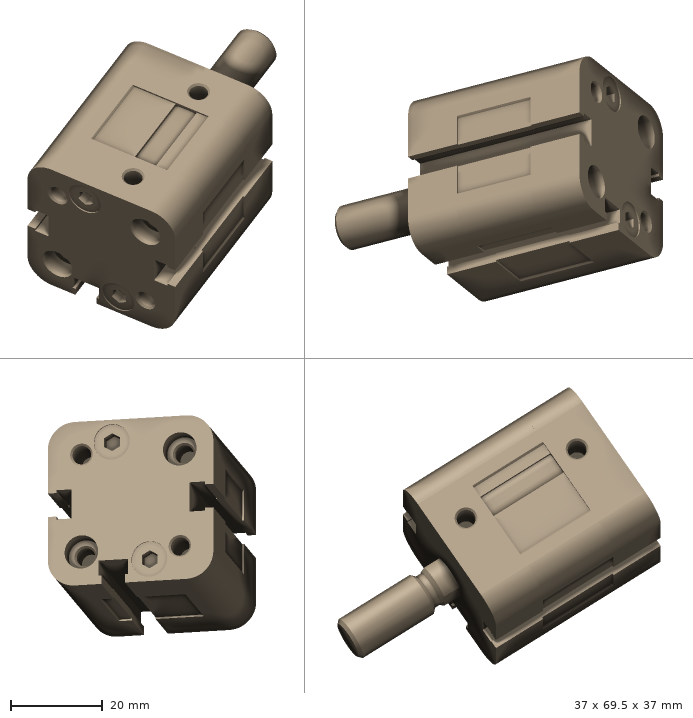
import cadquery as cq
import math


width = 37.0
half_width = width / 2
corner_radius = 6.0
cap_length = 12.3
body_length = 43.0
barrel_length = body_length - 2 * cap_length
front_cap_start = cap_length + barrel_length

slot_opening = 5.3
slot_inner_width = 6.6
slot_depth = 5.3
cap_lip = 1.9
barrel_lip = 2.1
slot_offset = 3.9
SIDE_SLOTS = [(90, 0), (-90, 0)]
BOTTOM_SLOT = (180, slot_offset)
TOP_SLOT = (0, slot_offset)

recess_depth = 0.4
recess_floor_half = 9.1
recess_mouth_half = 9.55

cover_drop = 0.45
cover_flat_width = 2.2
cover_edge_radius = 4.0

thread_core_diameter = 4.13
thread_mouth_diameter = 5.0
thread_depth = 10.0
mount_offset = 11.0
counterbore_diameter = 7.5
counterbore_depth = 4.3
port_x = 4.0
port_from_end = 7.0
port_depth = 8.0
screw_x = 4.2
screw_z = 13.5
screw_head_diameter = 8.0
screw_head_recess = 0.3
hex_across_flats = 3.5
hex_depth = 2.5

rod_diameter = 10.0
rod_length = 26.5
rod_flats = 8.0
neck_diameter = 8.0
neck_length = 1.3
rod_shoulder_length = 5.0
neck_cone = (rod_diameter - neck_diameter) / 2
tip_chamfer = 0.8


def along_y(start):
    """Sketch plane whose local x, y are X, Z and whose normal is -Y, set at Y = start."""
    return cq.Workplane("XZ", origin=(0, start, 0))


def housing_block(start, length):
    block = cq.Workplane("XY").box(width, length, width, centered=(True, False, True))
    return block.edges("|Y").fillet(corner_radius).translate((0, start, 0))


def flank_prism(profile, angle, start, length):
    """Prism along Y from a profile drawn for the top flank, turned about Y to another flank."""
    prism = profile.extrude(-length)
    return prism.rotate((0, 0, 0), (0, 1, 0), angle).translate((0, start, 0))


def t_slot(angle, offset, lip, start, length):
    slot_floor = half_width - slot_depth
    head_height = slot_depth - lip
    neck = along_y(0).center(offset, half_width - lip / 2).rect(slot_opening, lip)
    head = along_y(0).center(offset, slot_floor + head_height / 2).rect(slot_inner_width, head_height)
    neck_prism = flank_prism(neck, angle, start, length)
    return neck_prism.union(flank_prism(head, angle, start, length))


def flank_recess(angle):
    floor = half_width - recess_depth
    profile = along_y(0).polyline(
        [
            (-recess_mouth_half, half_width),
            (-recess_floor_half, floor),
            (recess_floor_half, floor),
            (recess_mouth_half, half_width),
        ]
    ).close()
    return flank_prism(profile, angle, cap_length, barrel_length)


def threaded_hole(depth):
    """Core hole with a 45 degree mouth chamfer, running down from the origin along -Z."""
    core_radius = thread_core_diameter / 2
    mouth_radius = thread_mouth_diameter / 2
    outline = cq.Workplane("XZ").polyline(
        [
            (0, 0),
            (mouth_radius, 0),
            (core_radius, core_radius - mouth_radius),
            (core_radius, -depth),
            (0, -depth),
        ]
    ).close()
    return outline.revolve(360, (0, 0, 0), (0, 1, 0))


def mounting_hole(x, z, sunk):
    """Threaded hole entering the rear face, starting at the depth `sunk`."""
    hole = threaded_hole(thread_depth - sunk).rotate((0, 0, 0), (1, 0, 0), 90)
    return hole.translate((x, sunk, z))


def port(y):
    return threaded_hole(port_depth).translate((port_x, y, half_width))


def cap(start, port_y):
    body = housing_block(start, cap_length)
    for angle, offset in [*SIDE_SLOTS, BOTTOM_SLOT]:
        body = body.cut(t_slot(angle, offset, cap_lip, start, cap_length))
    return body.cut(port(port_y))


def make_rear_cap():
    body = cap(0, port_from_end)
    for sx in (-1, 1):
        for sz in (-1, 1):
            x = sx * mount_offset
            z = sz * mount_offset
            sunk = 0
            if sx == sz:
                sunk = counterbore_depth
                bore = along_y(0).center(x, z).circle(counterbore_diameter / 2)
                body = body.cut(bore.extrude(-counterbore_depth))
            body = body.cut(mounting_hole(x, z, sunk))
    hex_across_corners = hex_across_flats / math.cos(math.pi / 6)
    for side in (-1, 1):
        center = (side * screw_x, -side * screw_z)
        head = along_y(0).center(*center).circle(screw_head_diameter / 2).extrude(-screw_head_recess)
        socket = along_y(0).center(*center).transformed(rotate=(0, 0, 90)).polygon(6, hex_across_corners)
        body = body.cut(head).cut(socket.extrude(-screw_head_recess - hex_depth))
    return body


def make_front_cap():
    body = cap(front_cap_start, body_length - port_from_end)
    bore = along_y(front_cap_start).circle(rod_diameter / 2).extrude(-cap_length)
    return body.cut(bore)


def make_barrel():
    body = housing_block(cap_length, barrel_length)
    for angle, offset in [*SIDE_SLOTS, BOTTOM_SLOT, TOP_SLOT]:
        body = body.cut(t_slot(angle, offset, barrel_lip, cap_length, barrel_length))
    for angle in (0, 90, 180, 270):
        body = body.cut(flank_recess(angle))
    return body


def make_slot_cover():
    """Strip filling the top slot, its upper face flat in the middle and rounded off at both sides."""
    top = half_width - recess_depth - cover_drop
    half_flat = cover_flat_width / 2
    half_opening = slot_opening / 2
    reach = half_opening - half_flat
    arc_center_z = top - cover_edge_radius
    edge_z = arc_center_z + math.sqrt(cover_edge_radius**2 - reach**2)
    half_angle = math.asin(reach / cover_edge_radius) / 2
    mid_x = half_flat + cover_edge_radius * math.sin(half_angle)
    mid_z = arc_center_z + cover_edge_radius * math.cos(half_angle)
    lip_z = half_width - barrel_lip
    floor_z = half_width - slot_depth
    half_inner = slot_inner_width / 2
    profile = (
        along_y(0)
        .center(slot_offset, 0)
        .moveTo(-half_flat, top)
        .lineTo(half_flat, top)
        .threePointArc((mid_x, mid_z), (half_opening, edge_z))
        .lineTo(half_opening, lip_z)
        .lineTo(half_inner, lip_z)
        .lineTo(half_inner, floor_z)
        .lineTo(-half_inner, floor_z)
        .lineTo(-half_inner, lip_z)
        .lineTo(-half_opening, lip_z)
        .lineTo(-half_opening, edge_z)
        .threePointArc((-mid_x, mid_z), (-half_flat, top))
        .close()
    )
    return flank_prism(profile, 0, cap_length, barrel_length)


def make_piston_rod():
    radius = rod_diameter / 2
    neck_radius = neck_diameter / 2
    neck_start = body_length + rod_shoulder_length
    thread_start = neck_start + neck_length
    tip = body_length + rod_length
    rod = cq.Workplane("XY").polyline(
        [
            (0, front_cap_start),
            (radius, front_cap_start),
            (radius, neck_start - neck_cone),
            (neck_radius, neck_start),
            (neck_radius, thread_start),
            (radius, thread_start + neck_cone),
            (radius, tip - tip_chamfer),
            (radius - tip_chamfer, tip),
            (0, tip),
        ]
    ).close().revolve(360, (0, 0, 0), (0, 1, 0))
    flat_cut = radius - rod_flats / 2
    for side in (-1, 1):
        cutter = cq.Workplane("XY").box(
            flat_cut, rod_shoulder_length, rod_diameter, centered=(True, False, True)
        )
        rod = rod.cut(cutter.translate((side * (rod_flats + flat_cut) / 2, body_length, 0)))
    return rod


rear_cap = make_rear_cap()
barrel = make_barrel()
slot_cover = make_slot_cover()
front_cap = make_front_cap()
piston_rod = make_piston_rod()

result = cq.Compound.makeCompound(
    [rear_cap.val(), barrel.val(), slot_cover.val(), front_cap.val(), piston_rod.val()]
)